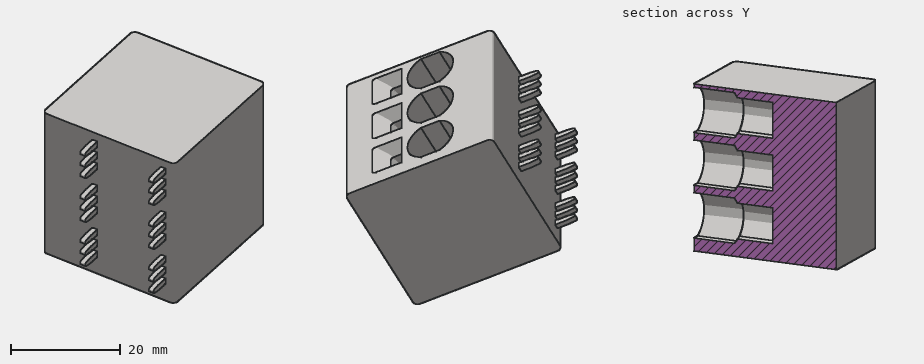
import cadquery as cq

housing_depth = 29.0
housing_height = 30.0
housing_length = 31.8
corner_radius = 1.0

pole_count = 3
pole_pitch = 10.0
first_pole_z = 6.8

entry_y = 12.6
entry_radius = 4.65
entry_half_flat = 4.25
entry_depth = 8.0
bore_y_shift = 0.45
bore_radius = 3.75
bore_half_flat = 3.35
bore_end_x = 16.0
funnel_end_radius = bore_radius - bore_y_shift
funnel_depth = 0.9

slot_low_y = 18.45
slot_width = 5.95
slot_length = 7.3
mouth_depth = 2.45
mouth_width_taper = 2.55
mouth_length_taper = 1.5
throat_depth = 3.5
throat_width_taper = 1.1
slot_corner_radius = 0.8

pin_row_x = (11.5, 26.5)
pin_row_widths = (1.1, 1.0)
pins_per_pole = 3
pin_pitch = 2.5
first_pin_z = 4.44
pin_half_thickness = 0.62
pin_straight_length = 2.4
pin_tapered_length = 3.5
pin_total_length = 4.03
pin_tip_half_thickness = 0.46


def make_housing():
    block = cq.Workplane("XY").box(housing_depth, housing_height, housing_length, centered=False)
    return block.edges("|Z").fillet(corner_radius)


def flat_sided_cylinder(radius, half_flat, y, z, depth):
    """Round bore along +X from the entry face, cut flat above and below in Z."""
    cylinder = cq.Workplane("YZ").center(y, z).circle(radius).extrude(depth)
    slab = cq.Workplane("YZ").center(y, z).rect(2 * radius, 2 * half_flat).extrude(depth)
    return cylinder.intersect(slab)


def wire_entry(z):
    entry = flat_sided_cylinder(entry_radius, entry_half_flat, entry_y, z, entry_depth)

    cone = cq.Solid.makeCone(
        entry_radius, funnel_end_radius, funnel_depth,
        pnt=cq.Vector(entry_depth, entry_y, z), dir=cq.Vector(1, 0, 0),
    )
    funnel_slab = (
        cq.Workplane("YZ", origin=(entry_depth, entry_y, z))
        .rect(2 * entry_radius, 2 * entry_half_flat)
        .extrude(funnel_depth)
    )
    funnel = funnel_slab.intersect(cq.Workplane(cone))

    bore_y = entry_y + bore_y_shift
    bore = flat_sided_cylinder(bore_radius, bore_half_flat, bore_y, z, bore_end_x)
    bore_lower_half = (
        cq.Workplane("YZ")
        .center(bore_y - bore_radius / 2, z)
        .rect(bore_radius, 2 * bore_half_flat)
        .extrude(bore_end_x)
    )
    behind_entry = (
        cq.Workplane("YZ", origin=(entry_depth, bore_y, z))
        .rect(2 * bore_radius, 2 * bore_half_flat)
        .extrude(bore_end_x - entry_depth)
    )
    narrow_bore = bore.union(bore_lower_half).intersect(behind_entry)
    return entry.union(funnel).union(narrow_bore)


def tapered_pocket(start_x, depth, z, start_size, end_size):
    """Pocket along +X between two (width, length) rectangles sharing their low-Y wall."""
    start_width, start_length = start_size
    end_width, end_length = end_size
    pocket = (
        cq.Workplane("YZ", origin=(start_x, slot_low_y, z))
        .center(start_width / 2, 0)
        .rect(start_width, start_length)
        .workplane(offset=depth)
        .center((end_width - start_width) / 2, 0)
        .rect(end_width, end_length)
        .loft(ruled=True)
    )
    corner_edges = pocket.faces(">Y").edges("not |Z")
    return corner_edges.fillet(slot_corner_radius)


def release_slot(z):
    mouth_size = (slot_width, slot_length)
    throat_size = (slot_width - mouth_width_taper, slot_length - 2 * mouth_length_taper)
    floor_size = (throat_size[0] - throat_width_taper, throat_size[1])
    mouth = tapered_pocket(0, mouth_depth, z, mouth_size, throat_size)
    throat = tapered_pocket(mouth_depth, throat_depth, z, throat_size, floor_size)
    return mouth.union(throat)


def solder_pin(x, z, width):
    """Pin along -Y with a slightly tapered end and a round tip."""
    return (
        cq.Workplane("YZ", origin=(x, 0, z))
        .moveTo(0, -pin_half_thickness)
        .lineTo(-pin_straight_length, -pin_half_thickness)
        .lineTo(-pin_tapered_length, -pin_tip_half_thickness)
        .threePointArc((-pin_total_length, 0), (-pin_tapered_length, pin_tip_half_thickness))
        .lineTo(-pin_straight_length, pin_half_thickness)
        .lineTo(0, pin_half_thickness)
        .close()
        .extrude(width / 2, both=True)
    )


result = make_housing()
for pole in range(pole_count):
    pole_offset = pole * pole_pitch
    result = result.cut(wire_entry(first_pole_z + pole_offset))
    result = result.cut(release_slot(first_pole_z + pole_offset))
    for row_x, pin_width in zip(pin_row_x, pin_row_widths):
        for pin in range(pins_per_pole):
            pin_z = first_pin_z + pole_offset + pin * pin_pitch
            result = result.union(solder_pin(row_x, pin_z, pin_width))